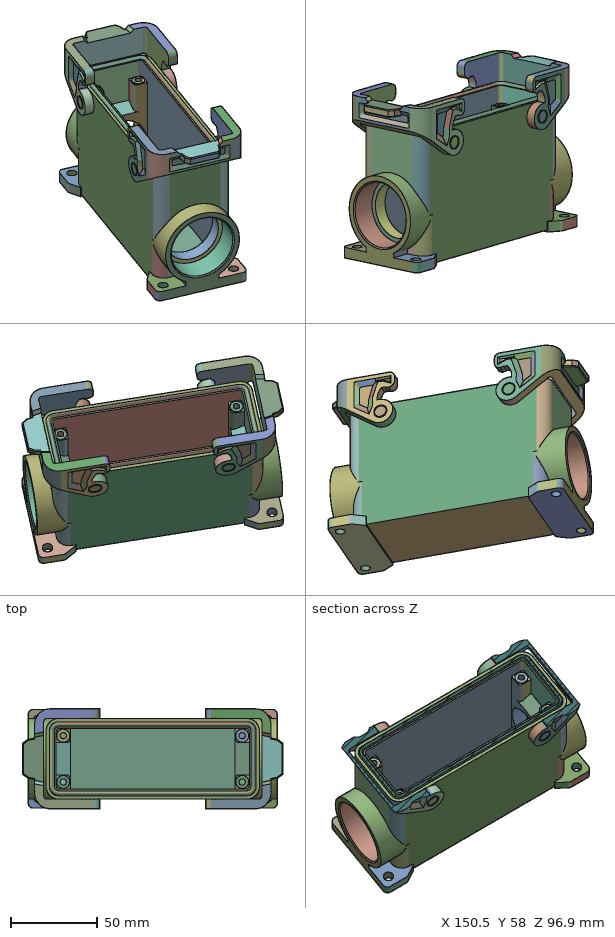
import cadquery as cq
import math

total_length = 150.5
total_width = 58.0
total_height = 96.9

body_half_length = 61.7
lower_half_length = 59.7
body_half_width = 23.3
body_corner_radius = 7.2
body_bottom = 1.2
body_top = 79.8
lower_section_top = 30.4
wall = 5.9
cavity_floor = 6.3
cavity_corner_radius = 1.8
cavity_half_length = body_half_length - wall
cavity_half_width = body_half_width - wall

bead_height = 1.7
bead_outer_inset = 2.0
bead_inner_inset = 4.8
bead_slope = 32.0
bead_crest_radius = 0.6

entry_axis_height = 30.0
entry_radius = 23.3
entry_end = 72.1
entry_bore_radius = 19.4
entry_bore_end = 56.3
entry_mouth_chamfer = 0.8
entry_mouth_angle = 45.0
entry_hole_radius = 16.9
web_half_width = 10.4
web_fillet = 1.2

end_wall_face = 47.7
end_wall_low = 50.4
end_wall_high = 54.2
post_size = cavity_half_length - end_wall_face
post_top = 69.4
post_edge_radius = 2.3
post_boss_radius = 3.8
post_boss_height = 0.5
post_hole_radius = 1.8
post_hole_depth = 13.5

flange_half_width = 28.6
flange_thickness = 6.3
flange_inner = 49.7
flange_taper_start = 57.0
flange_inner_half_width = 24.0
flange_corner_radius = 3.0
flange_hole_x = 66.0
flange_hole_y = 22.3
flange_hole_radius = 2.9

lever_half_width = total_width / 2
lever_outer = 68.3
lever_inner = 63.0
lever_outer_radius = 9.0
lever_inner_radius = 1.8
lever_slope = math.radians(34.6)
pivot_x = 39.3
pivot_z = 72.0
pivot_radius = 7.7
pin_radius = 3.9
pin_groove_width = 0.3
pin_groove_depth = 0.5
hook_tip = 30.5
hook_top_radius = 3.3
hook_end_radius = 3.6
hook_bottom = 87.0
hook_lip = (-36.4, 87.6)
hook_throat_top = (-38.5, 87.5)
hook_throat_middle = (-40.0, 85.2)
hook_throat_bottom = (-41.1, 81.7)
pocket_depth = 1.8
pocket_corner_radius = 2.3
hook_groove_depth = 1.0

end_pocket_half_width = 19.1
end_pocket_bottom = 84.3
end_pocket_top = 93.5
end_pocket_inset = 2.4
end_pocket_radius = 2.3

grip_tip = total_length / 2
grip_bottom = 90.5
grip_top = 95.0
grip_root_half_width = 13.1
grip_shoulder_x = 72.1
grip_shoulder_half_width = 11.3
grip_tip_half_width = 9.0
grip_chamfer = 0.6
notch_root_half_width = 13.5
notch_end_half_width = 12.5
notch_slope = 45.0


def upright_block(half_length, half_width, radius, bottom, top):
    """Block centred on Z with rounded vertical edges."""
    block = cq.Workplane("XY").workplane(offset=bottom).rect(2 * half_length, 2 * half_width)
    return block.extrude(top - bottom).edges("|Z").fillet(radius)


def both_ends(shape):
    """A feature of the -X end together with its mirror image on the +X end."""
    return shape.union(shape.mirror("YZ"))


def both_sides(shape):
    """A feature of the -Y side together with its mirror image on the +Y side."""
    return shape.union(shape.mirror("XZ"))


def ruled_pocket(plane, mouth, floor, depth):
    """Recess with sloping walls from a mouth outline to a floor outline."""
    outlines = plane.polyline(mouth).close().workplane(offset=-depth).polyline(floor).close()
    return outlines.loft(ruled=True)


def x_cylinder(radius, x_start, x_end):
    """Cylinder on the cable entry axis."""
    plane = cq.Workplane("YZ", origin=(x_start, 0, entry_axis_height))
    return plane.circle(radius).extrude(x_end - x_start)


def make_body():
    """Solid housing block, slightly shorter below the cable entry axis."""
    lower = upright_block(
        lower_half_length, body_half_width, body_corner_radius, body_bottom, lower_section_top
    )
    upper = upright_block(
        body_half_length, body_half_width, body_corner_radius, lower_section_top, body_top
    )
    return lower.union(upper)


def make_bead():
    """Sealing bead with sloping flanks that runs around the rim."""
    foot = cq.Sketch().rect(
        2 * (body_half_length - bead_outer_inset), 2 * (body_half_width - bead_outer_inset)
    ).vertices().fillet(body_corner_radius - bead_outer_inset)
    opening = cq.Sketch().rect(
        2 * (body_half_length - bead_inner_inset), 2 * (body_half_width - bead_inner_inset)
    ).vertices().fillet(body_corner_radius - bead_inner_inset)
    rim = cq.Workplane("XY").workplane(offset=body_top)
    outside = rim.placeSketch(foot).extrude(bead_height, taper=bead_slope)
    inside = rim.placeSketch(opening).extrude(bead_height, taper=-bead_slope)
    return outside.cut(inside).faces(">Z").edges().fillet(bead_crest_radius)


def make_flange():
    """Foot plate on the -X end."""
    outline = [
        (-entry_end, -flange_half_width),
        (-flange_taper_start, -flange_half_width),
        (-flange_inner, -flange_inner_half_width),
        (-flange_inner, flange_inner_half_width),
        (-flange_taper_start, flange_half_width),
        (-entry_end, flange_half_width),
    ]
    plate = cq.Workplane("XY").polyline(outline).close().extrude(flange_thickness)
    plate = plate.edges("|Z").edges("not >X").fillet(flange_corner_radius)
    holes = cq.Workplane("XY").pushPoints(
        [(-flange_hole_x, -flange_hole_y), (-flange_hole_x, flange_hole_y)]
    ).circle(flange_hole_radius).extrude(flange_thickness)
    return plate.cut(holes)


def make_entry():
    """Cable entry tube on the -X end with the web joining it to the foot."""
    tube = x_cylinder(entry_radius, -entry_end, -flange_inner)
    web = cq.Workplane("XY").box(
        entry_end - flange_inner, 2 * web_half_width, entry_axis_height, centered=(False, True, False)
    ).translate((-entry_end, 0, 0))
    joint_z = entry_axis_height - math.sqrt(entry_radius ** 2 - web_half_width ** 2)
    entry = tube.union(web)
    for side in (-1, 1):
        joint = (-entry_end, side * web_half_width, joint_z)
        entry = entry.edges("|X").edges(cq.NearestToPointSelector(joint)).fillet(web_fillet)
    return entry


def make_entry_opening():
    """Bore with a chamfered mouth, then a smaller hole through the -X end wall."""
    bore = x_cylinder(entry_bore_radius, -entry_end, -entry_bore_end)
    mouth = cq.Workplane("YZ", origin=(-entry_end, 0, entry_axis_height))
    mouth = mouth.circle(entry_bore_radius + entry_mouth_chamfer)
    mouth = mouth.extrude(entry_mouth_chamfer, taper=entry_mouth_angle)
    hole = x_cylinder(entry_hole_radius, -entry_bore_end, -end_wall_face)
    return bore.union(mouth).union(hole)


def make_end_wall():
    """Thick wall inside the -X end, with a sloping top that falls toward the middle."""
    profile = [
        (-cavity_half_length, cavity_floor),
        (-end_wall_face, cavity_floor),
        (-end_wall_face, end_wall_low),
        (-cavity_half_length, end_wall_high),
    ]
    return cq.Workplane("XZ").polyline(profile).close().extrude(cavity_half_width, both=True)


def make_post():
    """Screw post in the -X, -Y corner of the cavity."""
    centre = (-end_wall_face - post_size / 2, -cavity_half_width + post_size / 2)
    shoulder = post_top - post_boss_height
    base = cq.Workplane("XY", origin=(*centre, end_wall_low))
    post = base.rect(post_size, post_size).extrude(shoulder - end_wall_low)
    post = post.edges("|Z and >X and >Y").fillet(post_edge_radius)
    boss = cq.Workplane("XY", origin=(*centre, shoulder)).circle(post_boss_radius).extrude(post_boss_height)
    hole = cq.Workplane("XY", origin=(*centre, post_top)).circle(post_hole_radius).extrude(-post_hole_depth)
    return post.union(boss).cut(hole)


def make_lever_profile():
    """Side outline of the -X lever, extruded across its full width."""
    tangent_x = -pivot_x - pivot_radius * math.sin(lever_slope)
    tangent_z = pivot_z - pivot_radius * math.cos(lever_slope)
    heel_z = tangent_z + (lever_outer + tangent_x) * math.tan(lever_slope)
    diagonal = math.sqrt(0.5)
    top_centre = (-hook_tip - hook_top_radius, total_height - hook_top_radius)
    end_centre = (-hook_tip - hook_end_radius, hook_bottom + hook_end_radius)
    return (
        cq.Workplane("XZ")
        .moveTo(-lever_outer, total_height)
        .lineTo(top_centre[0], total_height)
        .threePointArc(
            (top_centre[0] + hook_top_radius * diagonal, top_centre[1] + hook_top_radius * diagonal),
            (-hook_tip, top_centre[1]),
        )
        .lineTo(-hook_tip, end_centre[1])
        .threePointArc(
            (end_centre[0] + hook_end_radius * diagonal, end_centre[1] - hook_end_radius * diagonal),
            (end_centre[0], hook_bottom),
        )
        .lineTo(*hook_lip)
        .lineTo(*hook_throat_top)
        .threePointArc(hook_throat_middle, hook_throat_bottom)
        .lineTo(hook_throat_bottom[0], body_top)
        .lineTo(-pivot_x, pivot_z + pivot_radius)
        .threePointArc((-pivot_x + pivot_radius, pivot_z), (tangent_x, tangent_z))
        .lineTo(-lever_outer, heel_z)
        .close()
        .extrude(lever_half_width, both=True)
    )


def make_side_pocket():
    """Recesses in the -Y cheek of the -X lever: a main pocket and a shallow groove in the hook."""
    cheek = cq.Workplane("XZ", origin=(0, -lever_half_width, 0))
    main_mouth = [
        (-55.4, 94.4), (-40.0, 94.4), (-44.1, 81.4), (-44.0, 76.5), (-46.2, 71.2), (-55.4, 77.4),
    ]
    main_floor = [
        (-52.5, 91.2), (-44.2, 91.2), (-47.1, 81.5), (-47.3, 77.4), (-47.9, 76.6), (-52.5, 79.6),
    ]
    hook_mouth = [(-42.5, 94.4), (-32.7, 94.4), (-32.7, 89.2), (-37.8, 91.7), (-42.5, 91.7)]
    hook_floor = [(-42.5, 93.3), (-33.7, 93.3), (-33.7, 91.0), (-37.6, 92.7), (-42.5, 92.7)]
    main = ruled_pocket(cheek, main_mouth, main_floor, pocket_depth)
    main = main.edges("not #Y").edges("<X").fillet(pocket_corner_radius)
    return main.union(ruled_pocket(cheek, hook_mouth, hook_floor, hook_groove_depth))


def make_pin_groove():
    """Fine ring around the pivot pin in the -Y cheek of the -X lever."""
    cheek = cq.Workplane("XZ", origin=(-pivot_x, -lever_half_width, pivot_z))
    return cheek.circle(pin_radius).circle(pin_radius - pin_groove_width).extrude(-pin_groove_depth)


def make_end_pocket():
    """Recess with sloping walls in the end face of the -X lever."""
    width = 2 * end_pocket_half_width
    height = end_pocket_top - end_pocket_bottom
    slope = math.degrees(math.atan(end_pocket_inset / pocket_depth))
    face = cq.Workplane("YZ", origin=(-lever_outer, 0, (end_pocket_top + end_pocket_bottom) / 2))
    pocket = face.rect(width, height).extrude(pocket_depth, taper=slope)
    return pocket.edges("not #X").fillet(end_pocket_radius)


def make_grip():
    """Finger grip that widens toward the -X lever, with chamfered edges."""
    outline = [
        (-lever_inner, -grip_root_half_width),
        (-grip_shoulder_x, -grip_shoulder_half_width),
        (-grip_tip, -grip_tip_half_width),
        (-grip_tip, grip_tip_half_width),
        (-grip_shoulder_x, grip_shoulder_half_width),
        (-lever_inner, grip_root_half_width),
    ]
    plate = cq.Workplane("XY").workplane(offset=grip_bottom).polyline(outline).close()
    plate = plate.extrude(grip_top - grip_bottom)
    return plate.faces("|Z").edges("<X or (not |Y)").chamfer(grip_chamfer)


def make_grip_notch():
    """Clearance in the top edge of the lever, flaring upward, above the grip."""
    outline = [
        (-lever_inner, -notch_root_half_width),
        (-lever_outer, -notch_end_half_width),
        (-lever_outer, notch_end_half_width),
        (-lever_inner, notch_root_half_width),
    ]
    floor = cq.Workplane("XY").workplane(offset=grip_top).polyline(outline).close()
    return floor.extrude(total_height - grip_top, taper=-notch_slope)


def make_lever():
    """Locking lever on the -X end."""
    outside = upright_block(lever_outer, lever_half_width, lever_outer_radius, 0, total_height)
    inside = upright_block(lever_inner, body_half_width, lever_inner_radius, 0, total_height)
    lever = outside.cut(inside).intersect(make_lever_profile())
    lever = lever.cut(both_sides(make_side_pocket())).cut(both_sides(make_pin_groove()))
    return lever.cut(make_end_pocket()).cut(make_grip_notch()).union(make_grip())


cavity = upright_block(
    cavity_half_length, cavity_half_width, cavity_corner_radius, cavity_floor, body_top + bead_height
)

result = make_body().union(make_bead())
result = result.union(both_ends(make_flange())).union(both_ends(make_entry()))
result = result.cut(cavity)
result = result.union(both_ends(make_end_wall())).union(both_ends(both_sides(make_post())))
result = result.cut(both_ends(make_entry_opening()))
result = result.union(both_ends(make_lever()))